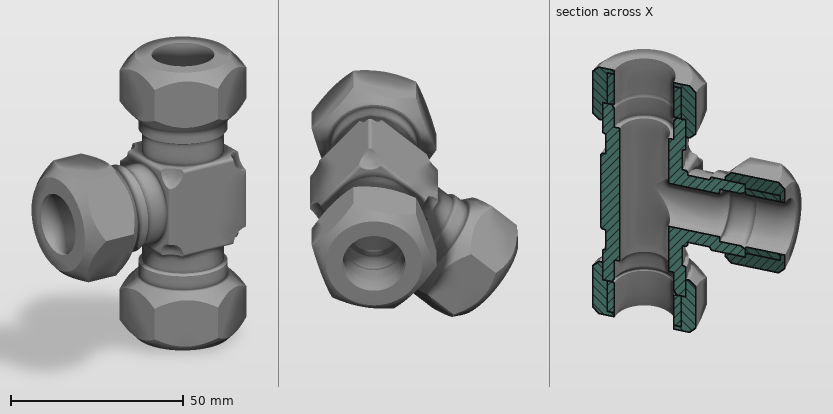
import cadquery as cq
import math


NUT_END = 43.5
NUT_LENGTH = 18.5
BODY_END = 31.3
COLLAR_START = 20.2
TUBE_STOP = 23.5

BLOCK_SIDE = 27.0
BLOCK_EDGE_RADIUS = 1.0
CORNER_SCOOP_RADIUS = 4.8
NECK_RADIUS = 11.9
COLLAR_RADIUS = 13.0
COLLAR_TAPER_LENGTH = 0.5
BORE_RADIUS = 7.5
TUBE_RADIUS = 9.1
MOUTH_RADIUS = 10.0
MOUTH_HALF_ANGLE = 30

HEX_ACROSS_FLATS = 32.0
NUT_FACE_RADIUS = 14.0
LIP_THICKNESS = 1.6

RING_OUTER_RADIUS = 11.3

HEX_ACROSS_CORNERS = HEX_ACROSS_FLATS / math.cos(math.radians(30))
NUT_START = NUT_END - NUT_LENGTH
RING_END = NUT_END - LIP_THICKNESS
MOUTH_DEPTH = (MOUTH_RADIUS - TUBE_RADIUS) / math.tan(math.radians(MOUTH_HALF_ANGLE))

BRANCH_TURNS = [0, 90, 180]


def place_on_branch(shape, turn):
    return shape.rotate((0, 0, 0), (1, 0, 0), turn)


def cylinder(radius, start, end):
    return cq.Workplane("XY").workplane(offset=start).circle(radius).extrude(end - start)


def revolve_about_z(points):
    """Turn a profile of (radius, height) points about the Z axis."""
    return cq.Workplane("XZ").polyline(points).close().revolve(360, (0, 0, 0), (0, 1, 0))


def make_block():
    """Cube with rounded edges and a spherical scoop at each corner."""
    block = cq.Workplane("XY").box(BLOCK_SIDE, BLOCK_SIDE, BLOCK_SIDE).edges().fillet(BLOCK_EDGE_RADIUS)
    corners = cq.Workplane("XY").box(BLOCK_SIDE, BLOCK_SIDE, BLOCK_SIDE).vertices().vals()
    for corner in corners:
        scoop = cq.Workplane("XY").sphere(CORNER_SCOOP_RADIUS).translate(corner.toTuple())
        block = block.cut(scoop)
    return block


def make_branch():
    """Solid neck and threaded collar along +Z."""
    return revolve_about_z([
        (0, 0),
        (NECK_RADIUS, 0),
        (NECK_RADIUS, COLLAR_START),
        (COLLAR_RADIUS, COLLAR_START + COLLAR_TAPER_LENGTH),
        (COLLAR_RADIUS, BODY_END),
        (0, BODY_END),
    ])


def make_branch_bore():
    """Bore, tube socket and conical mouth of one branch."""
    return revolve_about_z([
        (0, 0),
        (BORE_RADIUS, 0),
        (BORE_RADIUS, TUBE_STOP),
        (TUBE_RADIUS, TUBE_STOP),
        (TUBE_RADIUS, BODY_END - MOUTH_DEPTH),
        (MOUTH_RADIUS, BODY_END),
        (0, BODY_END),
    ])


def make_body():
    body = make_block()
    for turn in BRANCH_TURNS:
        body = body.union(place_on_branch(make_branch(), turn))
    for turn in BRANCH_TURNS:
        body = body.cut(place_on_branch(make_branch_bore(), turn))
    return body


def make_nut():
    """Hexagon nut, chamfered at both ends, corners along X."""
    prism = (
        cq.Workplane("XY")
        .workplane(offset=NUT_START)
        .polygon(6, HEX_ACROSS_CORNERS)
        .extrude(NUT_LENGTH)
    )
    corner_radius = HEX_ACROSS_CORNERS / 2
    chamfer = corner_radius - NUT_FACE_RADIUS
    chamfer_envelope = revolve_about_z([
        (0, NUT_START),
        (NUT_FACE_RADIUS, NUT_START),
        (corner_radius, NUT_START + chamfer),
        (corner_radius, NUT_END - chamfer),
        (NUT_FACE_RADIUS, NUT_END),
        (0, NUT_END),
    ])
    return (
        prism.intersect(chamfer_envelope)
        .cut(cylinder(COLLAR_RADIUS, NUT_START, BODY_END))
        .cut(cylinder(RING_OUTER_RADIUS, BODY_END, RING_END))
        .cut(cylinder(TUBE_RADIUS, RING_END, NUT_END))
    )


def make_ring():
    """Cutting ring held between the collar face and the nut lip."""
    ring = cylinder(RING_OUTER_RADIUS, BODY_END, RING_END)
    return ring.cut(cylinder(TUBE_RADIUS, BODY_END, RING_END))


body = make_body()
nuts = [place_on_branch(make_nut(), turn) for turn in BRANCH_TURNS]
rings = [place_on_branch(make_ring(), turn) for turn in BRANCH_TURNS]

result = cq.Compound.makeCompound([
    body.val(),
    *[nut.val() for nut in nuts],
    *[ring.val() for ring in rings],
])